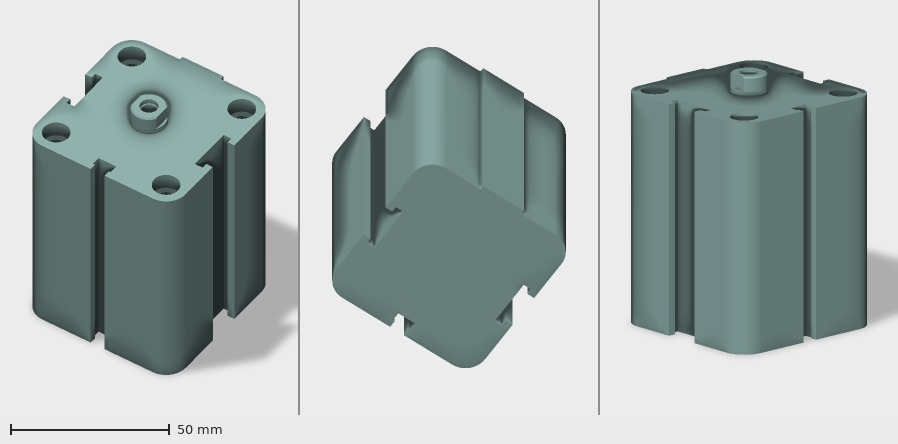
import cadquery as cq
HOUSING_SIDE = 57.0
HOUSING_HEIGHT = 75.6
END_CAP_HEIGHT = 14.5
CORNER_RADIUS = 7.5

RIB_WIDTH = 15.6
RIB_HEIGHT = 1.5
RIB_ROOT_RADIUS = 0.5

SIDE_SLOT_OPENING = 12.0
SIDE_SLOT_INNER_WIDTH = 16.0
SIDE_SLOT_LIP = 2.55
SIDE_SLOT_DEPTH = 5.4

FRONT_SLOT_OPENING = 5.3
FRONT_SLOT_INNER_WIDTH = 6.7
FRONT_SLOT_LIP = 2.4
FRONT_SLOT_DEPTH = 5.5

BOLT_SPACING = 42.0
BOLT_HOLE_DIAMETER = 4.9
BOLT_HEAD_DIAMETER = 9.0
BOLT_HEAD_DEPTH = 5.5

ROD_TOP = 82.0
ROD_DIAMETER = 11.7
ROD_TOP_CHAMFER = 0.5
COLLAR_DIAMETER = 12.0
COLLAR_RIM_HEIGHT = 0.5
COLLAR_TAPER_HEIGHT = 0.3
FLATS_WIDTH = 9.8
FLATS_HEIGHT = 4.75
ROD_BORE_DIAMETER = 4.9
ROD_BORE_DEPTH = 5.7
ROD_MOUTH_DIAMETER = 6.0
ROD_MOUTH_DEPTH = 1.6

HALF_SIDE = HOUSING_SIDE / 2
ROD_LENGTH = ROD_TOP - HOUSING_HEIGHT


def t_slot(opening, inner_width, lip, depth, height):
    """T-slot cutter that opens on the -Y side, standing on Z = 0."""
    mouth = cq.Workplane("XY").box(opening, lip, height, centered=(True, False, False))
    wide_part = cq.Workplane("XY").box(inner_width, depth - lip, height, centered=(True, False, False))
    return mouth.union(wide_part.translate((0, lip, 0))).translate((0, -HALF_SIDE, 0))


def profile_section(height):
    """Length of the housing profile: rounded square with a rib and three T-slots."""
    section = (
        cq.Workplane("XY")
        .box(HOUSING_SIDE, HOUSING_SIDE, height, centered=(True, True, False))
        .edges("|Z")
        .fillet(CORNER_RADIUS)
    )
    rib = cq.Workplane("XY").box(RIB_WIDTH, HALF_SIDE + RIB_HEIGHT, height, centered=(True, False, False))
    rib_roots = cq.selectors.BoxSelector(
        (-RIB_WIDTH, HALF_SIDE - RIB_ROOT_RADIUS, 0),
        (RIB_WIDTH, HALF_SIDE + RIB_ROOT_RADIUS, height),
    )
    section = section.union(rib).edges("|Z").edges(rib_roots).fillet(RIB_ROOT_RADIUS)

    side_slot = t_slot(SIDE_SLOT_OPENING, SIDE_SLOT_INNER_WIDTH, SIDE_SLOT_LIP, SIDE_SLOT_DEPTH, height)
    for angle in (-90, 90):
        section = section.cut(side_slot.rotate((0, 0, 0), (0, 0, 1), angle))
    return section.cut(
        t_slot(FRONT_SLOT_OPENING, FRONT_SLOT_INNER_WIDTH, FRONT_SLOT_LIP, FRONT_SLOT_DEPTH, height)
    )


def make_housing():
    """Bottom cap, barrel and top cap as one solid, with the seams kept as face edges."""
    barrel_height = HOUSING_HEIGHT - 2 * END_CAP_HEIGHT
    housing = profile_section(END_CAP_HEIGHT)
    base = END_CAP_HEIGHT
    for height in (barrel_height, END_CAP_HEIGHT):
        housing = housing.union(profile_section(height).translate((0, 0, base)), clean=False)
        base += height

    bolt_holes = (
        cq.Workplane("XY")
        .workplane(offset=HOUSING_HEIGHT)
        .rect(BOLT_SPACING, BOLT_SPACING, forConstruction=True)
        .vertices()
        .circle(BOLT_HOLE_DIAMETER / 2)
        .extrude(-END_CAP_HEIGHT)
    )
    bolt_heads = (
        cq.Workplane("XY")
        .workplane(offset=HOUSING_HEIGHT)
        .rect(BOLT_SPACING, BOLT_SPACING, forConstruction=True)
        .vertices()
        .circle(BOLT_HEAD_DIAMETER / 2)
        .extrude(-BOLT_HEAD_DEPTH)
    )
    return housing.cut(bolt_holes, clean=False).cut(bolt_heads, clean=False)


def make_piston_rod():
    """Rod end on the top face: low tapered collar, two wrench flats and a stepped blind bore."""
    rod = (
        cq.Workplane("XY")
        .workplane(offset=HOUSING_HEIGHT)
        .circle(ROD_DIAMETER / 2)
        .extrude(ROD_LENGTH)
        .faces(">Z")
        .chamfer(ROD_TOP_CHAMFER)
    )
    flats_envelope = (
        cq.Workplane("XY")
        .workplane(offset=ROD_TOP - FLATS_HEIGHT)
        .rect(FLATS_WIDTH, ROD_DIAMETER)
        .extrude(FLATS_HEIGHT)
    )
    shank = (
        cq.Workplane("XY")
        .workplane(offset=HOUSING_HEIGHT)
        .circle(ROD_DIAMETER / 2)
        .extrude(ROD_LENGTH - FLATS_HEIGHT)
    )
    collar = (
        cq.Workplane("XY")
        .workplane(offset=HOUSING_HEIGHT)
        .circle(COLLAR_DIAMETER / 2)
        .extrude(COLLAR_RIM_HEIGHT)
        .faces(">Z")
        .workplane()
        .circle(COLLAR_DIAMETER / 2)
        .workplane(offset=COLLAR_TAPER_HEIGHT)
        .circle(ROD_DIAMETER / 2)
        .loft()
    )
    rod = rod.intersect(flats_envelope.union(shank)).union(collar)
    top = cq.Workplane("XY").workplane(offset=ROD_TOP)
    bore = top.circle(ROD_BORE_DIAMETER / 2).extrude(-ROD_BORE_DEPTH)
    mouth = top.circle(ROD_MOUTH_DIAMETER / 2).extrude(-ROD_MOUTH_DEPTH)
    return rod.cut(bore).cut(mouth)


housing = make_housing()
piston_rod = make_piston_rod()

result = cq.Compound.makeCompound([housing.val(), piston_rod.val()])